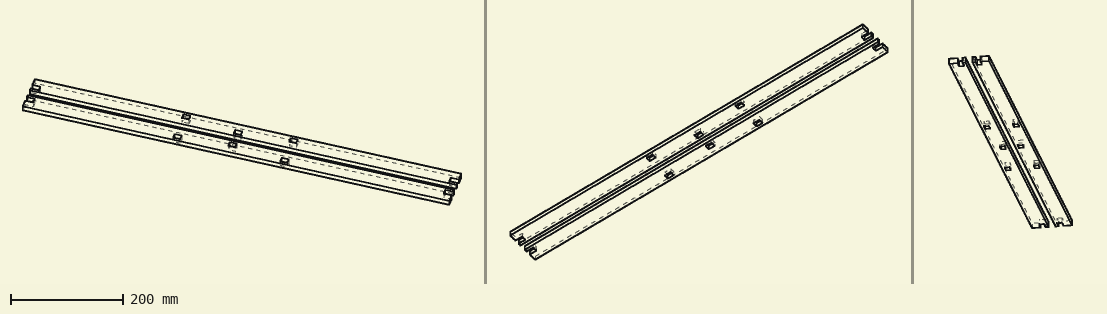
import cadquery as cq

rail_length = 796.0
rail_width = 30.0
rail_thickness = 10.0
rail_gap = 12.5

cutout_width = 9.0
cutout_edge_distance = 5.5

notch_depth = 15.0

window_length = 13.0
middle_window_x = -12.5
window_spacing = 100.0

inner_edge_y = rail_gap / 2
outer_edge_y = inner_edge_y + rail_width
rail_center_y = inner_edge_y + rail_width / 2
inner_row_y = inner_edge_y + cutout_edge_distance + cutout_width / 2
outer_row_y = outer_edge_y - cutout_edge_distance - cutout_width / 2


def block(length, width, x, y):
    """Full-thickness block centred at (x, y), standing on Z = 0."""
    blank = cq.Workplane("XY").box(length, width, rail_thickness, centered=(True, True, False))
    return blank.translate((x, y, 0))


def make_rail(side):
    """Rail on the +Y side (side = 1) or its mirror image on the -Y side (side = -1)."""
    rail = block(rail_length, rail_width, 0, side * rail_center_y)

    for end in (-1, 1):
        notch_x = end * (rail_length - notch_depth) / 2
        rail = rail.cut(block(notch_depth, cutout_width, notch_x, side * inner_row_y))

    rail = rail.cut(block(window_length, cutout_width, middle_window_x, side * inner_row_y))

    for direction in (-1, 1):
        window_x = middle_window_x + direction * window_spacing
        rail = rail.cut(block(window_length, cutout_width, window_x, side * outer_row_y))

    return rail


rails = [make_rail(side) for side in (-1, 1)]

result = cq.Compound.makeCompound([rail.val() for rail in rails])